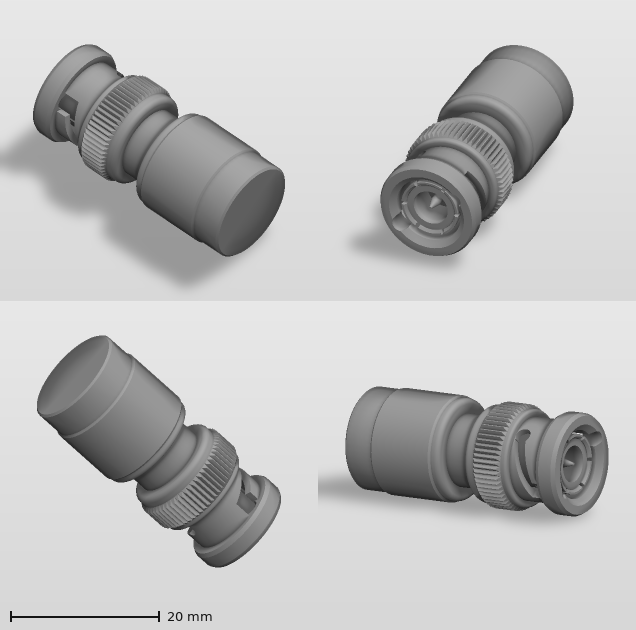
import cadquery as cq
import math


collar_length = 3.08
collar_radius = 7.0
collar_chamfer_length = 0.57
collar_chamfer_depth = 0.3
sleeve_radius = 5.7
sleeve_bore_radius = 4.69
mouth_radius = 5.5
mouth_depth = mouth_radius - sleeve_bore_radius

grip_start = 7.9
grip_end = 14.6
grip_radius = 6.7
grip_front_round = 0.4
grip_rear_round = 0.7

knurl_start = 8.7
knurl_end = 13.1
knurl_radius = 7.23
knurl_depth = knurl_radius - grip_radius
knurl_count = 60
knurl_tip_width = 0.1
knurl_phase = 0.5
knurl_cutter_margin = 1.0

track_count = 2
channel_angle = 35.8
channel_radius = 1.17
channel_centre_radius = 4.75
entry_half_angle = 14.4
ramp_pitch = 9.3
ramp_width = 1.68
ramp_top_x = 5.5
ramp_top_angle = channel_angle + entry_half_angle
ramp_bottom_angle = -38.0
detent_angle = -45.0
detent_x = 6.8
detent_radius = 1.07
cutter_inner_radius = 4.4
cutter_outer_radius = 6.0

stem_radius = 5.0
stem_start = 9.0
shell_start = 18.46
shell_radius = 7.0
shell_front_round = 0.7
band_start = 19.65
band_end = 29.22
band_radius = 7.265
band_chamfer_length = 0.3
shell_end = 33.4
shell_end_chamfer = 0.28

finger_front = 1.0
finger_lip_radius = 4.1
finger_lip_end = 2.0
finger_radius = 3.75
finger_bore_radius = 3.5
finger_lip_chamfer = 0.3
finger_slot_count = 6
finger_slot_width = 0.52
finger_slot_end = 6.2
insulator_front = 1.4
insulator_radius = 3.43
insulator_bore_radius = 2.5
insulator_floor = 6.0
pin_tip_x = 1.3
pin_tip_radius = 0.17
pin_radius = 0.68
pin_taper_end = 3.1
pin_shoulder_radius = 1.1
pin_shoulder_x = 5.0


def turn(outline):
    """Revolve a closed outline of the XZ half plane about the X axis."""
    return outline.close().revolve(360, (0, 0, 0), (1, 0, 0))


def outline_from(x, radius):
    return cq.Workplane("XZ").moveTo(x, radius)


def cylinder(start, end, radius):
    return cq.Workplane("YZ", origin=(start, 0, 0)).circle(radius).extrude(end - start)


def around_axis(solid, angle):
    return solid.rotate((0, 0, 0), (1, 0, 0), angle)


def quarter_round_middle(corner_x, corner_radius, size, direction):
    """Middle point of a convex round on an outer corner; direction points from corner into the part."""
    inset = size * (1 - math.sqrt(0.5))
    return (corner_x + direction * inset, corner_radius - inset)


def nut_blank():
    collar_edge = collar_radius - collar_chamfer_depth
    return turn(
        outline_from(0, mouth_radius)
        .lineTo(0, collar_edge)
        .lineTo(collar_chamfer_length, collar_radius)
        .lineTo(collar_length - collar_chamfer_length, collar_radius)
        .lineTo(collar_length, collar_edge)
        .lineTo(collar_length, sleeve_radius)
        .lineTo(grip_start, sleeve_radius)
        .lineTo(grip_start, grip_radius - grip_front_round)
        .threePointArc(
            quarter_round_middle(grip_start, grip_radius, grip_front_round, 1),
            (grip_start + grip_front_round, grip_radius),
        )
        .lineTo(knurl_start, grip_radius)
        .lineTo(knurl_start + knurl_depth, knurl_radius)
        .lineTo(knurl_end - knurl_depth, knurl_radius)
        .lineTo(knurl_end, grip_radius)
        .lineTo(grip_end - grip_rear_round, grip_radius)
        .threePointArc(
            quarter_round_middle(grip_end, grip_radius, grip_rear_round, -1),
            (grip_end, grip_radius - grip_rear_round),
        )
        .lineTo(grip_end, stem_radius)
        .lineTo(stem_start, stem_radius)
        .lineTo(stem_start, sleeve_bore_radius)
        .lineTo(mouth_depth, sleeve_bore_radius)
    )


def knurl_cutter():
    """Ring around the grip whose inner side is a star of teeth with narrow flat tips."""
    tip_half_angle = knurl_tip_width / knurl_radius / 2
    root_half_angle = math.pi / knurl_count
    star = []
    for i in range(knurl_count):
        middle = 2 * math.pi * (i + knurl_phase) / knurl_count
        for radius, angle in (
            (knurl_radius, middle - tip_half_angle),
            (knurl_radius, middle + tip_half_angle),
            (grip_radius, middle + root_half_angle),
        ):
            star.append((radius * math.cos(angle), radius * math.sin(angle)))
    length = knurl_end - knurl_start
    plane = cq.Workplane("YZ", origin=(knurl_start, 0, 0))
    ring = plane.circle(knurl_radius + knurl_cutter_margin).extrude(length)
    return ring.cut(plane.polyline(star).close().extrude(length))


def entry_cutter():
    """Annular sector running from the front to the start of the ramp."""
    low_angle = channel_angle - entry_half_angle
    ramp_left_x = ramp_top_x - ramp_width
    end = ramp_left_x + ramp_pitch * 2 * entry_half_angle / 360
    section = (
        cq.Workplane("XY")
        .moveTo(collar_length, -cutter_inner_radius)
        .lineTo(end, -cutter_inner_radius)
        .lineTo(end, -cutter_outer_radius)
        .lineTo(collar_length, -cutter_outer_radius)
        .close()
    )
    sector = section.revolve(2 * entry_half_angle, (0, 0, 0), (-1, 0, 0))
    return around_axis(sector, -low_angle)


def ramp_cutter():
    """Rectangular section swept along a right-handed helix, then laid along the X axis."""
    sweep_angle = ramp_top_angle - ramp_bottom_angle
    path = cq.Wire.makeHelix(ramp_pitch, ramp_pitch * sweep_angle / 360, sleeve_radius)
    ramp = (
        cq.Workplane("XZ")
        .center((cutter_inner_radius + cutter_outer_radius) / 2, 0)
        .rect(cutter_outer_radius - cutter_inner_radius, ramp_width)
        .sweep(cq.Workplane(path), isFrenet=True)
    )
    ramp = ramp.rotate((0, 0, 0), (1, 1, 1), 120)
    return around_axis(ramp, 180 - ramp_top_angle).translate((ramp_top_x - ramp_width / 2, 0, 0))


def detent_cutter():
    """Radial hole at the end of the ramp, pointing along -Y before it is turned into place."""
    hole = (
        cq.Workplane("XZ", origin=(detent_x, -cutter_inner_radius, 0))
        .circle(detent_radius)
        .extrude(cutter_outer_radius - cutter_inner_radius)
    )
    return around_axis(hole, -detent_angle)


def channel_cutter():
    """Round channel through the collar that lets the mating stud reach the track."""
    channel = (
        cq.Workplane("YZ")
        .center(-channel_centre_radius, 0)
        .circle(channel_radius)
        .extrude(collar_length)
    )
    return around_axis(channel, -channel_angle)


def make_coupling_nut():
    nut = nut_blank().cut(knurl_cutter())
    for cutter in (channel_cutter(), entry_cutter(), ramp_cutter(), detent_cutter()):
        for i in range(track_count):
            nut = nut.cut(around_axis(cutter, i * 360 / track_count))
    return nut


def body_blank():
    return turn(
        outline_from(finger_front, finger_lip_radius)
        .lineTo(finger_lip_end, finger_lip_radius)
        .lineTo(finger_lip_end, finger_radius)
        .lineTo(stem_start, finger_radius)
        .lineTo(stem_start, stem_radius)
        .lineTo(shell_start, stem_radius)
        .lineTo(shell_start, shell_radius - shell_front_round)
        .threePointArc(
            quarter_round_middle(shell_start, shell_radius, shell_front_round, 1),
            (shell_start + shell_front_round, shell_radius),
        )
        .lineTo(band_start, shell_radius)
        .lineTo(band_start + band_chamfer_length, band_radius)
        .lineTo(band_end - band_chamfer_length, band_radius)
        .lineTo(band_end, shell_radius)
        .lineTo(shell_end - shell_end_chamfer, shell_radius)
        .lineTo(shell_end, shell_radius - shell_end_chamfer)
        .lineTo(shell_end, 0)
        .lineTo(pin_tip_x, 0)
        .lineTo(pin_tip_x, pin_tip_radius)
        .lineTo(pin_taper_end, pin_radius)
        .lineTo(pin_shoulder_x, pin_radius)
        .lineTo(pin_shoulder_x + pin_shoulder_radius - pin_radius, pin_shoulder_radius)
        .lineTo(insulator_floor, pin_shoulder_radius)
        .lineTo(insulator_floor, insulator_bore_radius)
        .lineTo(insulator_front, insulator_bore_radius)
        .lineTo(insulator_front, insulator_radius)
        .lineTo(finger_slot_end, insulator_radius)
        .lineTo(finger_slot_end, finger_bore_radius)
        .lineTo(finger_front + finger_lip_chamfer, finger_bore_radius)
        .lineTo(finger_front, finger_bore_radius + finger_lip_chamfer)
    )


def finger_slot_cutter():
    """Slot through one side of the finger tube, clear of the insulator."""
    length = finger_slot_end - finger_front
    block = (
        cq.Workplane("YZ", origin=(finger_front, 0, 0))
        .center(finger_lip_radius, 0)
        .rect(2 * (finger_lip_radius - insulator_radius), finger_slot_width)
        .extrude(length)
    )
    return block.cut(cylinder(finger_front, finger_slot_end, insulator_radius))


def make_plug_body():
    body = body_blank()
    slot = finger_slot_cutter()
    for i in range(finger_slot_count):
        body = body.cut(around_axis(slot, i * 360 / finger_slot_count))
    return body


coupling_nut = make_coupling_nut()
plug_body = make_plug_body()

result = cq.Compound.makeCompound([*coupling_nut.solids().vals(), *plug_body.solids().vals()])